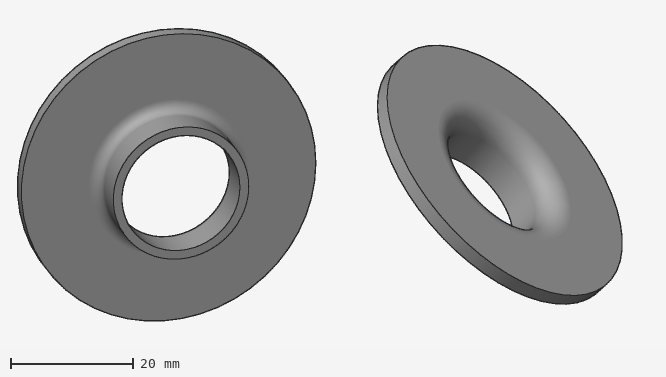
import cadquery as cq

flange_diameter = 50.0
flange_thickness = 2.5
total_length = 10.0
collar_diameter = 23.0
bore_diameter = 20.0
mouth_radius = 4.0
root_radius = 2.0

flange_radius = flange_diameter / 2
collar_radius = collar_diameter / 2
bore_radius = bore_diameter / 2


def flanged_collar():
    """Flange and collar on the X axis, with the flange face at X = 0."""
    flange = cq.Workplane("YZ").circle(flange_radius).extrude(flange_thickness)
    collar = cq.Workplane("YZ").circle(collar_radius).extrude(total_length)
    joined = flange.union(collar)
    root_edge = joined.edges(cq.selectors.RadiusNthSelector(0)).edges("<X")
    return root_edge.fillet(root_radius)


def rounded_bore(body):
    """Cut the through bore and round its mouth on the flange face."""
    bored = body.cut(cq.Workplane("YZ").circle(bore_radius).extrude(total_length))
    return bored.faces("<X").edges(cq.selectors.RadiusNthSelector(0)).fillet(mouth_radius)


result = rounded_bore(flanged_collar())